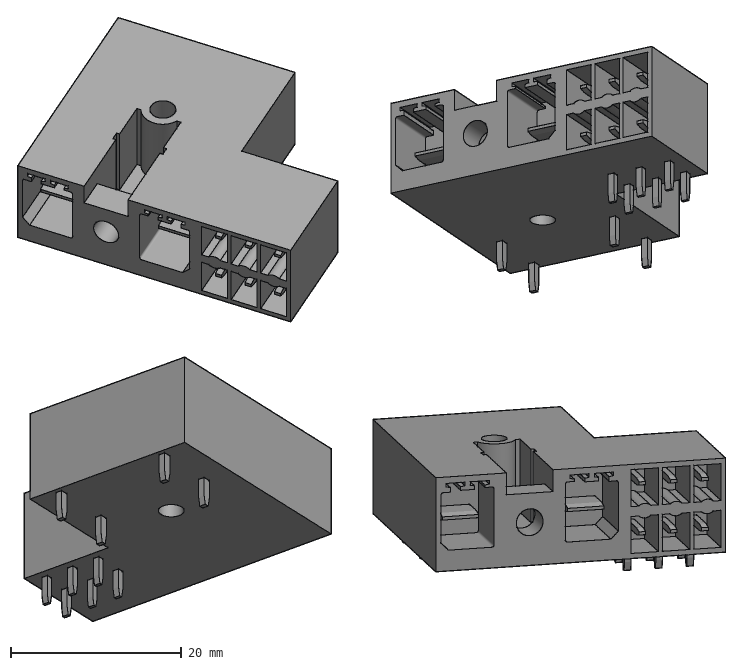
import cadquery as cq

WIDTH = 35.25
DEPTH = 28.3
HEIGHT = 11.42
TALL_ARM_WIDTH = 22.85
SHORT_ARM_DEPTH = 13.25

MIRROR_X = 11.42
POWER_PITCH = 15.23

POWER_DEPTH = 7.05
POWER_FLOOR = 2.55
POWER_OUTER_REACH = 3.17
POWER_INNER_REACH = 3.28
POWER_OUTER_TOP = 9.55
POWER_MIDDLE_TOP = 9.7
POWER_INNER_TOP = 9.85
POWER_CHAMFER = 0.9
POWER_FILLET = 0.28
KEY_OFFSET = 1.48
KEYS_SHIFT = 0.07
KEY_NECK_WIDTH = 1.27
KEY_HEAD_WIDTH = 2.3
KEY_LEDGE_OUTER = 10.23
KEY_LEDGE_INNER = 10.12
KEY_TOP = 10.65

SIGNAL_PITCH = 3.8
SIGNAL_FIRST_X = 25.42
SIGNAL_COLUMNS = [SIGNAL_FIRST_X + SIGNAL_PITCH * i for i in range(3)]
SIGNAL_CAVITY_WIDTH = 3.3
SIGNAL_CAVITY_HEIGHT = 4.48
SIGNAL_DEPTH = 6.35
SIGNAL_MARGIN = 0.65
RIB_WIDTH = 1.48
RIB_HEIGHT = 0.28

RECESS_WIDTH = 5.68
RECESS_END = 14.85
RECESS_FLOOR = POWER_FLOOR
STEP_DEPTH = 3.65
STEP_TOP = 8.78
SCREW_Y = 15.97
SCREW_DIAMETER = 3.03
BOSS_RADIUS = 2.57
NOTCH_REACH = 0.4
NOTCH_START = 8.92
NOTCH_LENGTH = 1.05
FRONT_HOLE_DIAMETER = 3.25
FRONT_HOLE_Z = 5.25

STOCK = 0.8
TIP_TAPER = 0.2
TIP_LENGTH = 1.0
LEG_LENGTH = 3.5
LEG_TAPER_LENGTH = 1.05
LEG_TAPER = 0.2
BLADE_WIDTH = 4.4
BLADE_Z = 5.65
BLADE_TIP_Y = 2.93
BLADE_LEG_DEPTH = 1.0
BLADE_LEG_YS = [19.6, 27.22]
PIN_TIP_Y = 1.13
LOWER_PIN_Z = 2.68
UPPER_PIN_Z = 8.75
LOWER_PIN_LEG_Y = 8.0
UPPER_PIN_LEG_Y = LOWER_PIN_LEG_Y + SIGNAL_PITCH


def block(x0, x1, y0, y1, z0, z1):
    """A box between two opposite corners."""
    return cq.Workplane("XY").box(x1 - x0, y1 - y0, z1 - z0, centered=False).translate((x0, y0, z0))


def front_sketch():
    """A sketch plane on the front face: local axes are X and Z, and -Y is its normal."""
    return cq.Workplane("XZ")


def mirrored(shape):
    """The same shape on the other side of the screw axis."""
    return shape.mirror("YZ", (MIRROR_X, 0, 0))


def body_block():
    """The L-shaped outer block."""
    outline = [
        (0, 0),
        (WIDTH, 0),
        (WIDTH, SHORT_ARM_DEPTH),
        (TALL_ARM_WIDTH, SHORT_ARM_DEPTH),
        (TALL_ARM_WIDTH, DEPTH),
        (0, DEPTH),
    ]
    return cq.Workplane("XY").polyline(outline).close().extrude(HEIGHT)


def keyway(x):
    """A T-shaped keyway whose ledges slope down towards the neck."""
    neck_half = KEY_NECK_WIDTH / 2
    head_half = KEY_HEAD_WIDTH / 2
    neck_bottom = POWER_OUTER_TOP - POWER_FILLET
    outline = [
        (x - neck_half, neck_bottom),
        (x + neck_half, neck_bottom),
        (x + neck_half, KEY_LEDGE_INNER),
        (x + head_half, KEY_LEDGE_OUTER),
        (x + head_half, KEY_TOP),
        (x - head_half, KEY_TOP),
        (x - head_half, KEY_LEDGE_OUTER),
        (x - neck_half, KEY_LEDGE_INNER),
    ]
    return front_sketch().polyline(outline).close().extrude(-POWER_DEPTH)


def left_power_cavity():
    """The left power cavity: a main room with two T-shaped keyways in its roof."""
    axis = MIRROR_X - POWER_PITCH / 2
    outer = axis - POWER_OUTER_REACH
    inner = axis + POWER_INNER_REACH
    middle = axis + KEYS_SHIFT
    outline = [
        (outer, POWER_FLOOR + POWER_CHAMFER),
        (outer + POWER_CHAMFER, POWER_FLOOR),
        (inner, POWER_FLOOR),
        (inner, POWER_INNER_TOP),
        (middle + KEY_OFFSET, POWER_INNER_TOP),
        (middle + KEY_OFFSET, POWER_MIDDLE_TOP),
        (middle - KEY_OFFSET, POWER_MIDDLE_TOP),
        (middle - KEY_OFFSET, POWER_OUTER_TOP),
        (outer, POWER_OUTER_TOP),
    ]
    cavity = front_sketch().polyline(outline).close().extrude(-POWER_DEPTH)
    rounded = cq.selectors.BoxSelector(
        (inner - POWER_FILLET, 0, 0), (inner + POWER_FILLET, POWER_DEPTH, HEIGHT)
    )
    cavity = cavity.edges("|Y").edges(rounded).fillet(POWER_FILLET)
    cavity = cavity.edges("|Y and <X").edges(">Z").fillet(POWER_FILLET)

    for key_x in (middle - KEY_OFFSET, middle + KEY_OFFSET):
        cavity = cavity.union(keyway(key_x))
    return cavity


def signal_cavity(x, plain_z, ribbed_z):
    """A rectangular cavity whose wall at ribbed_z carries a rounded polarising rib."""
    half = SIGNAL_CAVITY_WIDTH / 2
    rib_half = RIB_WIDTH / 2
    rib_peak = ribbed_z + (RIB_HEIGHT if plain_z > ribbed_z else -RIB_HEIGHT)
    return (
        front_sketch()
        .moveTo(x - half, plain_z)
        .lineTo(x - half, ribbed_z)
        .lineTo(x - rib_half, ribbed_z)
        .threePointArc((x, rib_peak), (x + rib_half, ribbed_z))
        .lineTo(x + half, ribbed_z)
        .lineTo(x + half, plain_z)
        .close()
        .extrude(-SIGNAL_DEPTH)
    )


def signal_cavities():
    """The two rows of signal cavities; the ribbed walls face each other."""
    lower_plain = SIGNAL_MARGIN
    upper_plain = HEIGHT - SIGNAL_MARGIN
    cavities = []
    for x in SIGNAL_COLUMNS:
        cavities.append(signal_cavity(x, lower_plain, lower_plain + SIGNAL_CAVITY_HEIGHT))
        cavities.append(signal_cavity(x, upper_plain, upper_plain - SIGNAL_CAVITY_HEIGHT))
    return cavities


def latch_recess():
    """The open-topped recess with a shallow front step, side notches and a rounded boss at its end."""
    half = RECESS_WIDTH / 2
    left = MIRROR_X - half
    right = MIRROR_X + half
    step = block(left, right, 0, STEP_DEPTH, STEP_TOP, HEIGHT)
    well = block(left, right, STEP_DEPTH, RECESS_END, RECESS_FLOOR, HEIGHT)
    notches = block(
        left - NOTCH_REACH,
        right + NOTCH_REACH,
        NOTCH_START,
        NOTCH_START + NOTCH_LENGTH,
        RECESS_FLOOR,
        HEIGHT,
    )
    boss = cq.Workplane("XY").center(MIRROR_X, SCREW_Y).circle(BOSS_RADIUS).extrude(HEIGHT)
    return step.union(well).union(notches).cut(boss)


def screw_hole():
    """The vertical through hole in the boss."""
    return cq.Workplane("XY").center(MIRROR_X, SCREW_Y).circle(SCREW_DIAMETER / 2).extrude(HEIGHT)


def front_hole():
    """The round hole that runs from the front face into the latch recess."""
    return (
        front_sketch()
        .center(MIRROR_X, FRONT_HOLE_Z)
        .circle(FRONT_HOLE_DIAMETER / 2)
        .extrude(-(SCREW_Y - BOSS_RADIUS) / 2)
    )


def beam(x, width, z, tip_y, end_y):
    """A horizontal bar along Y whose front end narrows in height."""
    half = STOCK / 2
    profile = [
        (tip_y, z - half + TIP_TAPER),
        (tip_y + TIP_LENGTH, z - half),
        (end_y, z - half),
        (end_y, z + half),
        (tip_y + TIP_LENGTH, z + half),
        (tip_y, z + half - TIP_TAPER),
    ]
    return cq.Workplane("YZ").polyline(profile).close().extrude(width / 2, both=True).translate((x, 0, 0))


def leg(x, y, depth, top_z):
    """A vertical solder leg whose lower end narrows in Y."""
    half = depth / 2
    taper_z = LEG_TAPER_LENGTH - LEG_LENGTH
    profile = [
        (y - half, top_z),
        (y - half, taper_z),
        (y - half + LEG_TAPER, -LEG_LENGTH),
        (y + half - LEG_TAPER, -LEG_LENGTH),
        (y + half, taper_z),
        (y + half, top_z),
    ]
    return cq.Workplane("YZ").polyline(profile).close().extrude(STOCK / 2, both=True).translate((x, 0, 0))


def power_contact(x):
    """A flat blade with two solder legs."""
    contact = beam(x, BLADE_WIDTH, BLADE_Z, BLADE_TIP_Y, max(BLADE_LEG_YS) + BLADE_LEG_DEPTH / 2)
    for y in BLADE_LEG_YS:
        contact = contact.union(leg(x, y, BLADE_LEG_DEPTH, BLADE_Z))
    return contact


def signal_contact(x, z, leg_y):
    """A square pin bent down into one solder leg."""
    return beam(x, STOCK, z, PIN_TIP_Y, leg_y + STOCK / 2).union(leg(x, leg_y, STOCK, z))


power_contacts = [power_contact(MIRROR_X + side * POWER_PITCH / 2) for side in (-1, 1)]
signal_contacts = []
for column_x in SIGNAL_COLUMNS:
    signal_contacts.append(signal_contact(column_x, LOWER_PIN_Z, LOWER_PIN_LEG_Y))
    signal_contacts.append(signal_contact(column_x, UPPER_PIN_Z, UPPER_PIN_LEG_Y))
contacts = power_contacts + signal_contacts

left_cavity = left_power_cavity()
housing = body_block()
for opening in [left_cavity, mirrored(left_cavity), *signal_cavities()]:
    housing = housing.cut(opening)
for opening in [latch_recess(), screw_hole(), front_hole()]:
    housing = housing.cut(opening)
for contact in contacts:
    housing = housing.cut(contact)

result = cq.Compound.makeCompound([housing.val(), *[contact.val() for contact in contacts]])